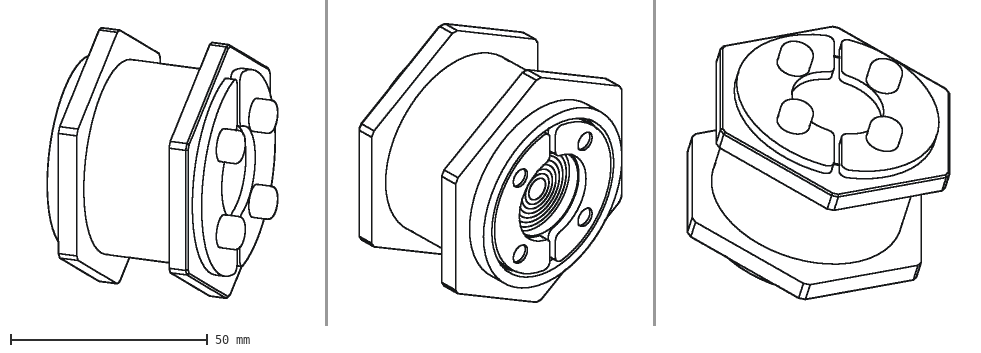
import cadquery as cq
import math

housing_length = 40.0
tube_radius = 25.0
bore_radius = 22.0
hex_across_flats = 60.0
hex_across_corners = 68.3
flange_thickness = 5.0
front_flange_start = 5.0
back_flange_start = housing_length - flange_thickness
flange_edge_chamfer = 0.5

plate_thickness = 2.5
core_radius = 21.5
front_plate_radius = 21.0
back_plate_radius = 26.5
plate_bore_radius = 12.0
slot_width = 2.0
plate_corner_radius = 2.0

recess_radius = 11.6
recess_depth = 3.0
largest_ring_radius = 10.5
smallest_ring_radius = 3.0
ring_groove_count = 3
ring_groove_depth = 0.1

stud_offset = 11.7
stud_radius = 4.2
stud_length = 5.0
stud_end_fillet = 1.0
hole_radius = 2.5
hole_depth = 0.75

stud_centres = [(y, z) for y in (-stud_offset, stud_offset) for z in (-stud_offset, stud_offset)]


def disc(start, length, radius):
    """Cylinder on the X axis."""
    return cq.Workplane("YZ", origin=(start, 0, 0)).circle(radius).extrude(length)


def hex_flange(start):
    """Hexagonal plate with corners at +Z and -Z, each corner cut flat."""
    sharp_across_corners = hex_across_flats / math.cos(math.radians(30))
    corner_chamfer = sharp_across_corners - hex_across_corners
    return (
        cq.Workplane("YZ", origin=(start, 0, 0))
        .polygon(6, sharp_across_corners)
        .extrude(flange_thickness)
        .rotate((0, 0, 0), (1, 0, 0), 90)
        .edges("|X")
        .chamfer(corner_chamfer)
    )


def make_housing():
    back_flange = hex_flange(back_flange_start).faces(">X").chamfer(flange_edge_chamfer)
    return (
        disc(0, housing_length, tube_radius)
        .union(hex_flange(front_flange_start))
        .union(back_flange)
        .cut(disc(0, housing_length, bore_radius))
    )


def split_plate(start, radius):
    """Ring plate split into two halves by a slot, with rounded corners at the slot."""
    slot = cq.Workplane("YZ", origin=(start, 0, 0)).rect(slot_width, 2 * radius).extrude(plate_thickness)
    slot_corners = cq.selectors.BoxSelector(
        (start, -slot_width, -radius),
        (start + plate_thickness, slot_width, radius),
    )
    return (
        disc(start, plate_thickness, radius)
        .cut(disc(start, plate_thickness, plate_bore_radius))
        .cut(slot)
        .edges("|X")
        .edges(slot_corners)
        .fillet(plate_corner_radius)
    )


def make_core():
    core = disc(plate_thickness, housing_length - plate_thickness, core_radius)
    core = core.cut(disc(plate_thickness, recess_depth, recess_radius))
    recess_floor = plate_thickness + recess_depth
    groove_width = (largest_ring_radius - smallest_ring_radius) / (2 * ring_groove_count)
    for number in range(ring_groove_count):
        outer_radius = largest_ring_radius - 2 * number * groove_width
        groove = disc(recess_floor, ring_groove_depth, outer_radius)
        groove = groove.cut(disc(recess_floor, ring_groove_depth, outer_radius - groove_width))
        core = core.cut(groove)
    return core.cut(disc(recess_floor, ring_groove_depth, smallest_ring_radius))


def make_insert():
    front_plate = split_plate(0, front_plate_radius)
    back_plate = split_plate(housing_length, back_plate_radius)
    holes = cq.Workplane("YZ").pushPoints(stud_centres).circle(hole_radius).extrude(hole_depth)
    studs = (
        cq.Workplane("YZ", origin=(housing_length + plate_thickness, 0, 0))
        .pushPoints(stud_centres)
        .circle(stud_radius)
        .extrude(stud_length)
        .faces(">X")
        .edges()
        .fillet(stud_end_fillet)
    )
    return make_core().union(front_plate.cut(holes)).union(back_plate).union(studs)


housing = make_housing()
insert = make_insert()

result = cq.Compound.makeCompound([housing.val(), insert.val()])